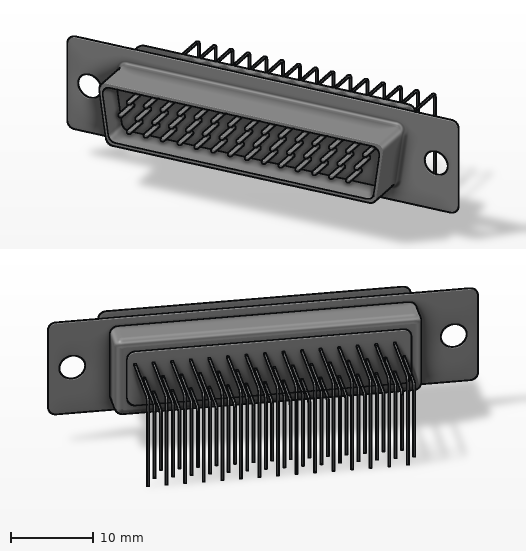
import cadquery as cq
import math


OVERALL_LENGTH = 19.61
OVERALL_HEIGHT = 16.27

FLANGE_WIDTH = 53.1
FLANGE_HEIGHT = 12.5
FLANGE_CORNER_RADIUS = 1.0
SHEET_THICKNESS = 0.4
MOUNT_HOLE_DIAMETER = 3.2
MOUNT_HOLE_SPACING = 47.1
RIM_FILLET = 0.1

SIDE_ANGLE = math.radians(8)
CORNER_RADIUS = 1.0

PLUG_WIDTH = 38.6
PLUG_HEIGHT = 8.3
PLUG_LENGTH = 5.78
PLUG_ROOT_FILLET = 0.6
PLUG_WALL = 0.5
PLUG_TIP_FILLET = 0.05
CAVITY_FLOOR_Y = -2.1

REAR_WIDTH = 37.9
REAR_HEIGHT = 10.4
REAR_LENGTH = 4.0
REAR_EDGE_FILLET = 0.95
PAD_WIDTH = 35.1
PAD_HEIGHT = 7.3
PAD_THICKNESS = 0.3
REAR_FACE_Y = SHEET_THICKNESS + REAR_LENGTH
PAD_FACE_Y = REAR_FACE_Y + PAD_THICKNESS

CONTACT_PITCH = 2.29
CONTACT_EMBED = 0.5
ROW_SPACING = 1.98
PIN_DIAMETER = 0.6
PIN_TIP_FILLET = 0.2
PIN_TIP_Y = -5.5
PIN_ROOT_Y = CAVITY_FLOOR_Y + CONTACT_EMBED
TAIL_DIAMETER = 0.3
TAIL_ROOT_Y = PAD_FACE_Y - CONTACT_EMBED
TAIL_END_Z = FLANGE_HEIGHT / 2 - OVERALL_HEIGHT
OUTER_TAIL_Y = OVERALL_LENGTH - PLUG_LENGTH - TAIL_DIAMETER / 2
WIDE_BEND_RADIUS = 0.65
TIGHT_BEND_RADIUS = 0.5

LONG_ROW_COUNT = 15
SHORT_ROW_COUNT = 14
LONG_ROW_SPAN = (LONG_ROW_COUNT - 1) * CONTACT_PITCH
FIRST_TOP_X = -LONG_ROW_SPAN / 2 + CONTACT_PITCH / 4
FIRST_MIDDLE_X = -LONG_ROW_SPAN / 2 - CONTACT_PITCH / 4

CONTACT_ROWS = [
    (LONG_ROW_COUNT, FIRST_TOP_X, ROW_SPACING, OUTER_TAIL_Y, WIDE_BEND_RADIUS),
    (LONG_ROW_COUNT, FIRST_MIDDLE_X, 0, OUTER_TAIL_Y - ROW_SPACING, TIGHT_BEND_RADIUS),
    (SHORT_ROW_COUNT, FIRST_TOP_X, -ROW_SPACING, OUTER_TAIL_Y - 2 * ROW_SPACING, WIDE_BEND_RADIUS),
]


def d_prism(width, height, start_y, end_y):
    """D-shaped prism along Y, wider at the top; width is measured across its rounded top corners."""
    half_height = height / 2
    slope = math.tan(SIDE_ANGLE)
    corner_overshoot = CORNER_RADIUS * ((1 + math.sin(SIDE_ANGLE)) / math.cos(SIDE_ANGLE) - 1)
    top_x = width / 2 + corner_overshoot
    bottom_x = top_x - height * slope
    outline = [
        (-top_x, half_height),
        (top_x, half_height),
        (bottom_x, -half_height),
        (-bottom_x, -half_height),
    ]
    face = cq.Workplane("XZ", origin=(0, start_y, 0)).polyline(outline).close()
    prism = face.extrude(start_y - end_y)
    return prism.edges("|Y").fillet(CORNER_RADIUS)


def make_flange():
    hole_centres = [(-MOUNT_HOLE_SPACING / 2, 0), (MOUNT_HOLE_SPACING / 2, 0)]
    plate = cq.Workplane("XZ").rect(FLANGE_WIDTH, FLANGE_HEIGHT).extrude(-SHEET_THICKNESS)
    plate = plate.edges("|Y").fillet(FLANGE_CORNER_RADIUS)
    holes = cq.Workplane("XZ").pushPoints(hole_centres).circle(MOUNT_HOLE_DIAMETER / 2)
    plate = plate.cut(holes.extrude(-SHEET_THICKNESS))
    return plate.faces("<Y or >Y").edges().fillet(RIM_FILLET)


def add_plug_shell(body):
    shell = d_prism(PLUG_WIDTH, PLUG_HEIGHT, 0, -PLUG_LENGTH)
    shell = shell.faces("<Y").edges().fillet(PLUG_TIP_FILLET)
    body = body.union(shell)
    reach = PLUG_ROOT_FILLET
    root_edges = cq.selectors.BoxSelector(
        (-PLUG_WIDTH / 2 - reach, -SHEET_THICKNESS / 4, -PLUG_HEIGHT / 2 - reach),
        (PLUG_WIDTH / 2 + reach, SHEET_THICKNESS / 4, PLUG_HEIGHT / 2 + reach),
        boundingbox=True,
    )
    body = body.edges(root_edges).fillet(PLUG_ROOT_FILLET)
    cavity = d_prism(
        PLUG_WIDTH - 2 * PLUG_WALL,
        PLUG_HEIGHT - 2 * PLUG_WALL,
        CAVITY_FLOOR_Y,
        -PLUG_LENGTH,
    )
    return body.cut(cavity)


def rounded_box(width, height, start_y, end_y):
    """Box along Y with its four lengthwise edges rounded."""
    box = cq.Workplane("XZ", origin=(0, start_y, 0)).rect(width, height).extrude(start_y - end_y)
    return box.edges("|Y").fillet(CORNER_RADIUS)


def make_rear_shell():
    shell = rounded_box(REAR_WIDTH, REAR_HEIGHT, SHEET_THICKNESS, REAR_FACE_Y)
    shell = shell.faces(">Y").edges().fillet(REAR_EDGE_FILLET)
    pad = rounded_box(PAD_WIDTH, PAD_HEIGHT, REAR_FACE_Y, PAD_FACE_Y)
    pad = pad.faces(">Y").edges().fillet(RIM_FILLET)
    return shell.union(pad)


def make_pin(x, z):
    pin = cq.Workplane("XZ", origin=(x, PIN_ROOT_Y, z)).circle(PIN_DIAMETER / 2)
    pin = pin.extrude(PIN_ROOT_Y - PIN_TIP_Y)
    return pin.faces("<Y").edges().fillet(PIN_TIP_FILLET)


def make_tail(x, z, tail_y, bend_radius):
    bend_inset = bend_radius * (1 - math.sqrt(0.5))
    bend_start = (tail_y - bend_radius, z)
    bend_middle = (tail_y - bend_inset, z - bend_inset)
    bend_end = (tail_y, z - bend_radius)
    path = (
        cq.Workplane("YZ", origin=(x, 0, 0))
        .moveTo(TAIL_ROOT_Y, z)
        .lineTo(*bend_start)
        .threePointArc(bend_middle, bend_end)
        .lineTo(tail_y, TAIL_END_Z)
    )
    section = cq.Workplane("XZ", origin=(x, TAIL_ROOT_Y, z)).circle(TAIL_DIAMETER / 2)
    return section.sweep(path)


def make_contacts():
    solids = []
    for count, first_x, z, tail_y, bend_radius in CONTACT_ROWS:
        for index in range(count):
            x = first_x + index * CONTACT_PITCH
            solids.append(make_pin(x, z).val())
            solids.append(make_tail(x, z, tail_y, bend_radius).val())
    return solids


shells = add_plug_shell(make_flange())
shells = shells.union(make_rear_shell())
result = cq.Workplane("XY").newObject([shells.val().fuse(*make_contacts())])